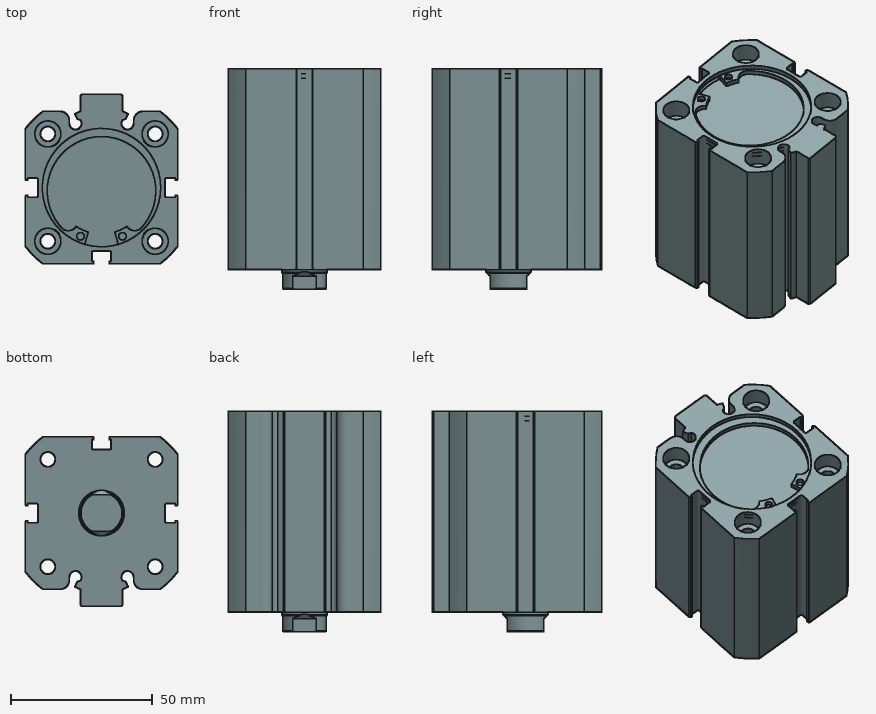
import cadquery as cq
import math


WIDTH = 54.0
HALF = WIDTH / 2
HOUSING_HEIGHT = 71.0
CORNER_RADIUS = 34.0

RAIL_TOP = 33.0
RAIL_HALF_WIDTH = 7.5
RAIL_CHAMFER = 0.55
TOOTH_TIP = (9.4, 26.05)
TOOTH_BASE = (8.6, 24.2)
CHANNEL_X = 9.2
CHANNEL_Y = 22.6
CHANNEL_RADIUS = 2.1
CHANNEL_ENTRY_ANGLE = 145
SHOULDER_RADIUS = 3.4

SLOT_DEPTH = 4.5
SLOT_HALF_WIDTH = 3.35
SLOT_FLOOR_FILLET = 0.5
LIP_THICKNESS = 1.0
SIDE_MOUTH_HALF_WIDTH = 2.65
SIDE_MOUTH_CHAMFER_WIDTH = 0.6
SIDE_MOUTH_CHAMFER_DEPTH = 0.3
FRONT_MOUTH_HALF_WIDTH = 2.8
FRONT_MOUTH_CHAMFER = 0.15

HOLE_OFFSET = 18.95
HOLE_RADIUS = 2.6
COUNTERBORE_RADIUS = 4.6
COUNTERBORE_DEPTH = 7.0

BORE_RADIUS = 20.9
RING_RADIUS = 22.15
RING_RECESS = 1.7
RING_THICKNESS = 1.7
CAP_THICKNESS = 7.0
RING_BOTTOM = HOUSING_HEIGHT - RING_RECESS - RING_THICKNESS
CAP_BOTTOM = RING_BOTTOM - CAP_THICKNESS

RING_INNER_RADIUS = 19.2
RING_INNER_SHIFT = 1.2
LUG_INNER_RADIUS = 16.4
LUG_FRONT_ANGLE = 16.5
LUG_BACK_ANGLE = 33.1
RELIEF_MIDDLE = (11.7, -15.2)
RELIEF_END_ANGLE = 46
PLIER_HOLE_RADIUS = 1.3
PLIER_HOLE_DISTANCE = 18.7
PLIER_HOLE_ANGLE = 23.3

ROD_RADIUS = 8.0
ROD_TIP_RADIUS = 7.7
ROD_PROJECTION = 7.0
ROD_STEP = 1.0
ROD_STEP_CHAMFER = ROD_RADIUS - ROD_TIP_RADIUS
ROD_END_CHAMFER = 0.5
FLAT_HALF_WIDTH = 6.5
FLAT_TOP = 2.35
FLAT_RUNOUT = ROD_RADIUS - FLAT_HALF_WIDTH


def polar(radius, degrees_from_front, centre_y=0.0):
    """Point at an angle from the -Y direction, turning towards +X."""
    angle = math.radians(degrees_from_front)
    return radius * math.sin(angle), centre_y - radius * math.cos(angle)


def mirrored(point):
    return -point[0], point[1]


def housing_blank():
    block = cq.Workplane("XY").box(WIDTH, WIDTH, HOUSING_HEIGHT, centered=(True, True, False))
    return block.intersect(cq.Workplane("XY").circle(CORNER_RADIUS).extrude(HOUSING_HEIGHT))


def sensor_rail():
    """Raised rail standing on the +Y side."""
    rail = (
        cq.Workplane("XY")
        .center(0, (HALF + RAIL_TOP) / 2)
        .rect(2 * RAIL_HALF_WIDTH, RAIL_TOP - HALF)
        .extrude(HOUSING_HEIGHT)
    )
    return rail.edges("|Z and >Y").chamfer(RAIL_CHAMFER)


def rail_channel():
    """Undercut channel beside the rail on the +X side."""
    outer_x = CHANNEL_X + CHANNEL_RADIUS
    shoulder_centre = (outer_x + SHOULDER_RADIUS, HALF - SHOULDER_RADIUS)
    shoulder_middle = (
        shoulder_centre[0] - SHOULDER_RADIUS * math.sqrt(0.5),
        shoulder_centre[1] + SHOULDER_RADIUS * math.sqrt(0.5),
    )
    entry = math.radians(CHANNEL_ENTRY_ANGLE)
    channel_entry = (
        CHANNEL_X + CHANNEL_RADIUS * math.cos(entry),
        CHANNEL_Y + CHANNEL_RADIUS * math.sin(entry),
    )
    return (
        cq.Workplane("XY")
        .moveTo(RAIL_HALF_WIDTH, HALF)
        .lineTo(*TOOTH_TIP)
        .lineTo(*TOOTH_BASE)
        .lineTo(*channel_entry)
        .threePointArc((CHANNEL_X, CHANNEL_Y - CHANNEL_RADIUS), (outer_x, CHANNEL_Y))
        .lineTo(outer_x, shoulder_centre[1])
        .threePointArc(shoulder_middle, (shoulder_centre[0], HALF))
        .close()
        .extrude(HOUSING_HEIGHT)
    )


def mounting_slot(mouth_half_width, chamfer_width, chamfer_depth):
    """T-shaped slot in the -Y side."""
    mouth_edge = mouth_half_width + chamfer_width
    mouth = (
        cq.Workplane("XY")
        .moveTo(-mouth_edge, -HALF)
        .lineTo(mouth_edge, -HALF)
        .lineTo(mouth_half_width, -HALF + chamfer_depth)
        .lineTo(mouth_half_width, -HALF + LIP_THICKNESS)
        .lineTo(-mouth_half_width, -HALF + LIP_THICKNESS)
        .lineTo(-mouth_half_width, -HALF + chamfer_depth)
        .close()
        .extrude(HOUSING_HEIGHT)
    )
    chamber_depth = SLOT_DEPTH - LIP_THICKNESS
    chamber = (
        cq.Workplane("XY")
        .center(0, -HALF + LIP_THICKNESS + chamber_depth / 2)
        .rect(2 * SLOT_HALF_WIDTH, chamber_depth)
        .extrude(HOUSING_HEIGHT)
        .edges("|Z and >Y")
        .fillet(SLOT_FLOOR_FILLET)
    )
    return mouth.union(chamber)


def cylinder(radius, bottom, top):
    return cq.Workplane("XY").workplane(offset=bottom).circle(radius).extrude(top - bottom)


def mounting_holes():
    spacing = 2 * HOLE_OFFSET
    through = (
        cq.Workplane("XY")
        .rarray(spacing, spacing, 2, 2)
        .circle(HOLE_RADIUS)
        .extrude(HOUSING_HEIGHT)
    )
    counterbores = (
        cq.Workplane("XY")
        .workplane(offset=HOUSING_HEIGHT - COUNTERBORE_DEPTH)
        .rarray(spacing, spacing, 2, 2)
        .circle(COUNTERBORE_RADIUS)
        .extrude(COUNTERBORE_DEPTH)
    )
    return through.union(counterbores)


def build_housing():
    housing = housing_blank().union(sensor_rail())
    channel = rail_channel()
    housing = housing.cut(channel).cut(channel.mirror("YZ"))

    side_slot = mounting_slot(
        SIDE_MOUTH_HALF_WIDTH, SIDE_MOUTH_CHAMFER_WIDTH, SIDE_MOUTH_CHAMFER_DEPTH
    )
    for angle in (-90, 90):
        housing = housing.cut(side_slot.rotate((0, 0, 0), (0, 0, 1), angle))
    front_slot = mounting_slot(FRONT_MOUTH_HALF_WIDTH, FRONT_MOUTH_CHAMFER, FRONT_MOUTH_CHAMFER)
    housing = housing.cut(front_slot)

    housing = housing.cut(mounting_holes())
    housing = housing.cut(cylinder(BORE_RADIUS, CAP_BOTTOM, HOUSING_HEIGHT))
    housing = housing.cut(cylinder(RING_RADIUS, RING_BOTTOM, RING_BOTTOM + RING_THICKNESS))
    return housing.cut(cylinder(ROD_RADIUS, 0, CAP_BOTTOM))


def build_retaining_ring():
    """Internal retaining ring with an eccentric inner edge and two plier lugs."""
    lug_outer = polar(RING_RADIUS, LUG_FRONT_ANGLE)
    lug_inner = polar(LUG_INNER_RADIUS, LUG_FRONT_ANGLE)
    lug_middle = polar(LUG_INNER_RADIUS, (LUG_FRONT_ANGLE + LUG_BACK_ANGLE) / 2)
    lug_back = polar(LUG_INNER_RADIUS, LUG_BACK_ANGLE)
    relief_end = polar(RING_INNER_RADIUS, RELIEF_END_ANGLE, -RING_INNER_SHIFT)
    ring = (
        cq.Workplane("XY")
        .workplane(offset=RING_BOTTOM)
        .moveTo(*lug_outer)
        .threePointArc((0, RING_RADIUS), mirrored(lug_outer))
        .lineTo(*mirrored(lug_inner))
        .threePointArc(mirrored(lug_middle), mirrored(lug_back))
        .threePointArc(mirrored(RELIEF_MIDDLE), mirrored(relief_end))
        .threePointArc((0, RING_INNER_RADIUS - RING_INNER_SHIFT), relief_end)
        .threePointArc(RELIEF_MIDDLE, lug_back)
        .threePointArc(lug_middle, lug_inner)
        .close()
        .extrude(RING_THICKNESS)
    )
    plier_hole = polar(PLIER_HOLE_DISTANCE, PLIER_HOLE_ANGLE)
    plier_holes = (
        cq.Workplane("XY")
        .workplane(offset=RING_BOTTOM)
        .pushPoints([plier_hole, mirrored(plier_hole)])
        .circle(PLIER_HOLE_RADIUS)
        .extrude(RING_THICKNESS)
    )
    return ring.cut(plier_holes)


def build_end_cap():
    return cylinder(BORE_RADIUS, CAP_BOTTOM, RING_BOTTOM)


def wrench_flat():
    """Material removed for the flat on the -Y side, with a sloped run-out at its top."""
    return (
        cq.Workplane("YZ")
        .moveTo(-FLAT_HALF_WIDTH, -ROD_PROJECTION)
        .lineTo(-FLAT_HALF_WIDTH, -FLAT_TOP)
        .lineTo(-ROD_RADIUS, -FLAT_TOP + FLAT_RUNOUT)
        .lineTo(-ROD_RADIUS, -ROD_PROJECTION)
        .close()
        .extrude(ROD_RADIUS, both=True)
    )


def build_piston_rod():
    rod = (
        cq.Workplane("XZ")
        .moveTo(0, CAP_BOTTOM)
        .lineTo(ROD_RADIUS, CAP_BOTTOM)
        .lineTo(ROD_RADIUS, -ROD_STEP)
        .lineTo(ROD_TIP_RADIUS, -ROD_STEP - ROD_STEP_CHAMFER)
        .lineTo(ROD_TIP_RADIUS, -ROD_PROJECTION + ROD_END_CHAMFER)
        .lineTo(ROD_TIP_RADIUS - ROD_END_CHAMFER, -ROD_PROJECTION)
        .lineTo(0, -ROD_PROJECTION)
        .close()
        .revolve(360, (0, 0, 0), (0, 1, 0))
    )
    flat = wrench_flat()
    return rod.cut(flat).cut(flat.mirror("XZ"))


housing = build_housing()
end_cap = build_end_cap()
retaining_ring = build_retaining_ring()
piston_rod = build_piston_rod()

result = cq.Compound.makeCompound(
    [housing.val(), end_cap.val(), retaining_ring.val(), piston_rod.val()]
)